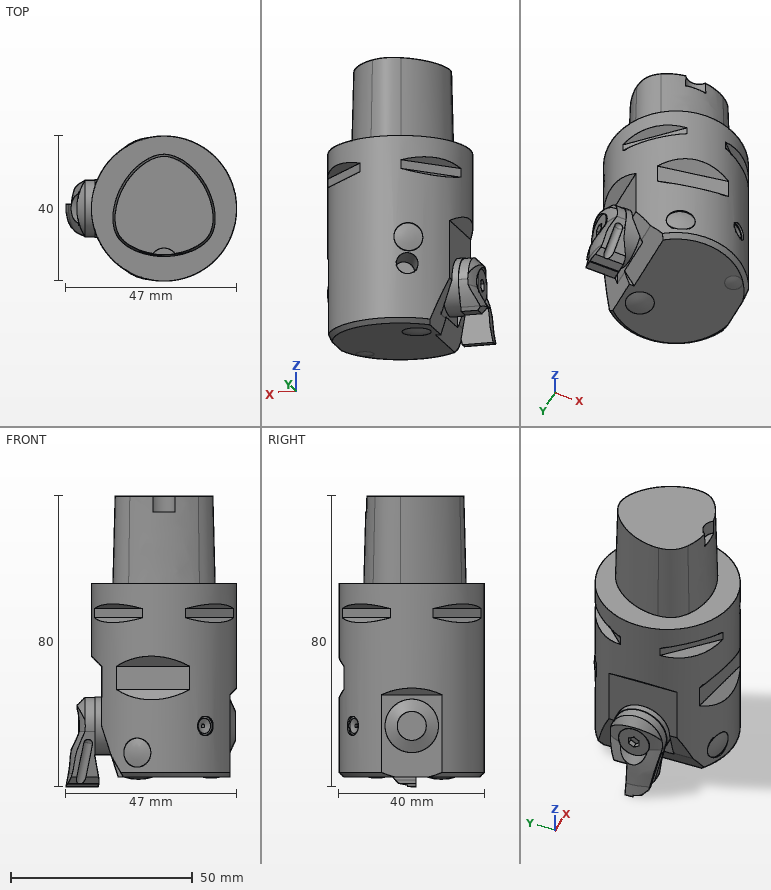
import cadquery as cq
import math


overall_length = 80
shank_height = 24
shank_radius = 14.1
shank_lobe = 0.9
shank_corner_angles = (90, 210, 330)
shank_corner_span = 56
shank_taper = 0.025
key_diameter = 7.5
key_depth = 4.3
key_centre_y = -14.6

head_radius = 20
head_bottom = -53.3
head_chamfer = 1.3
cut_radius = head_radius + 4
cut_span = 2 * cut_radius
cut_bottom = head_bottom - 0.8

gripper_distance = 17.7
gripper_top = -7.0
gripper_bottom = -9.4
gripper_flank = math.tan(math.radians(30))
gripper_angles = (45, 135, 225, 315)

side_flat_distance = 17.2
side_flat_top = -22.8
wrench_slot_height = 6.4
wrench_slot_angle = 260
rear_flat_distance = 18.2
rear_flat_top = -30.6

pivot_z = -39.2
disc_diameter = 16
disc_inner_x = -14.1
disc_outer_x = -19.0
ramp_slope = math.tan(math.radians(18))

notch_wall_y = 3.4
notch_top = -47.6
notch_slope = math.tan(math.radians(30))

arm_radius = 7.8
arm_front_x = -24
arm_front_radius = 14.4
arm_chamfer_x = -21.8
arm_tip_z = shank_height - overall_length
arm_tip_x = -27.0
arm_back_x = -17.8
arm_top = pivot_z + arm_radius
arm_bend_z = -40.8
finger_front = ((-42.8, -24.6), (-45.6, -25.5), (-49.0, -26.0))
tip_joint = (-52.2, -26.3)
back_bend_z = -47.3
back_low_z = -54.1
tip_back_x = -18.2
tip_corner_z = -55.0
seat_y = 1.2
seat_z = -47.6
wedge_start_x = -23.8
wedge_size = 3.2

arm_groove_diameter = 2.5
arm_groove_start = (-20.9, -7.4, -44.2)
arm_groove_end = (-23.2, -4.6, -55.5)

screw_head_diameter = 9.2
screw_shank_diameter = 5.0
screw_face_x = -23.6
screw_head_height = 2.4
screw_end_x = -8
socket_corners = 3.6
socket_depth = 1.6

cap_base_diameter = 14.7
cap_face_diameter = 8
cap_height = 1.5

plug_diameter = 8
plug_depth = 4
plug_dome = 0.6
plug_rim_distance = 19.6
front_plug = (248, -46.6)
back_plug = (113, -28.9)
bottom_plug = (-7.1, 8.2)

drill_diameter = 6.0
drill_angle = 112
drill_z = -36.5
drill_depth = 9.6

outlet_angle = 305
outlet_z = -39.2
outlet_diameter = 5.3
outlet_floor = 19.4
outlet_cone_diameter = 4.2
outlet_cone_depth = 0.6
outlet_tip_diameter = 1.0
outlet_tip_depth = 2.4

boss_centre = (13.0, -9.6)
boss_diameter = 5.0
boss_height = 0.3


def shank_point(angle, radius):
    """Point of a curve of constant width with three lobes, one of them on +Y."""
    phase = 3 * (angle - math.pi / 2)
    support = radius + shank_lobe * math.cos(phase)
    slope = -3 * shank_lobe * math.sin(phase)
    x = support * math.cos(angle) - slope * math.sin(angle)
    y = support * math.sin(angle) + slope * math.cos(angle)
    return x, y


def shank_edge(first, last, radius, z):
    """Smooth edge of the outline between two normal directions in degrees."""
    steps = 8
    angles = [math.radians(first + (last - first) * step / steps) for step in range(steps + 1)]
    points = [cq.Vector(*shank_point(angle, radius), z) for angle in angles]
    tangents = [cq.Vector(-math.sin(a), math.cos(a), 0) for a in (angles[0], angles[-1])]
    return cq.Edge.makeSpline(points, tangents)


def shank_outline(z):
    """Closed wire of six curve pieces, split where corners meet sides."""
    radius = shank_radius - shank_taper * z
    edges = []
    for corner in shank_corner_angles:
        first = corner - shank_corner_span / 2
        second = corner + shank_corner_span / 2
        edges.append(shank_edge(first, second, radius, z))
        edges.append(shank_edge(second, first + 360 / len(shank_corner_angles), radius, z))
    return cq.Wire.assembleEdges(edges)


def make_shank():
    outlines = [shank_outline(0), shank_outline(shank_height)]
    shank = cq.Workplane(cq.Solid.makeLoft(outlines, True))
    key = (
        cq.Workplane("XY", origin=(0, key_centre_y, shank_height - key_depth))
        .circle(key_diameter / 2)
        .extrude(2 * key_depth)
    )
    return shank.cut(key)


def wall_cut(profile, angle):
    """Straight cut across the head; profile holds (distance from axis, Z) points."""
    cut = cq.Workplane("XZ").polyline(profile).close().extrude(cut_span / 2, both=True)
    return cut.rotate((0, 0, 0), (0, 0, 1), angle)


def slot_cut(distance, top, bottom, flank, angle):
    """Flat-bottomed slot whose two flanks rise outwards by the given slope."""
    rise = flank * (cut_radius - distance)
    profile = [
        (distance, top),
        (distance, bottom),
        (cut_radius, bottom - rise),
        (cut_radius, top + rise),
    ]
    return wall_cut(profile, angle)


def side_flat_cut():
    """Flat on -X with a 45 degree run-out above and a ramp below the pivot."""
    ramp_end = side_flat_distance - ramp_slope * (pivot_z - cut_bottom)
    run_out = cut_radius - side_flat_distance
    profile = [
        (side_flat_distance, side_flat_top),
        (side_flat_distance, pivot_z),
        (ramp_end, cut_bottom),
        (cut_radius, cut_bottom),
        (cut_radius, side_flat_top + run_out),
    ]
    return wall_cut(profile, 180)


def rear_flat_cut():
    """Flat on +X that runs out through the bottom."""
    run_out = cut_radius - rear_flat_distance
    profile = [
        (rear_flat_distance, rear_flat_top),
        (rear_flat_distance, cut_bottom),
        (cut_radius, cut_bottom),
        (cut_radius, rear_flat_top + run_out),
    ]
    return wall_cut(profile, 0)


def pivot_workplane(x):
    """Plane across the pivot axis, facing -X; its local Y is the part's Z."""
    return cq.Workplane(cq.Plane(origin=(x, 0, pivot_z), xDir=(0, -1, 0), normal=(-1, 0, 0)))


def disc_pocket():
    """Round seat for the pivot disc, open downwards."""
    length = cut_radius + disc_inner_x
    round_end = pivot_workplane(disc_inner_x).circle(disc_diameter / 2).extrude(length)
    depth = pivot_z - cut_bottom
    open_end = (
        pivot_workplane(disc_inner_x)
        .center(0, -depth / 2)
        .rect(disc_diameter, depth)
        .extrude(length)
    )
    return round_end.union(open_end)


def notch_cut():
    """Steeper relief below the pocket, from the notch wall towards -Y."""
    start_x = -side_flat_distance + ramp_slope * (pivot_z - notch_top)
    end_x = start_x + notch_slope * (notch_top - cut_bottom)
    profile = [(start_x, notch_top), (end_x, cut_bottom), (-cut_radius, cut_bottom), (-cut_radius, notch_top)]
    return (
        cq.Workplane("XZ", origin=(0, notch_wall_y, 0))
        .polyline(profile)
        .close()
        .extrude(cut_span)
    )


def bottom_workplane(place):
    """Plane on the head's bottom face, facing down, centred at the given X and Y."""
    return cq.Workplane(cq.Plane((*place, head_bottom), xDir=(1, 0, 0), normal=(0, 0, -1)))


def radial_workplane(angle, distance, z):
    """Plane facing away from the tool axis in the given direction."""
    turn = math.radians(angle)
    outward = cq.Vector(math.cos(turn), math.sin(turn), 0)
    origin = outward * distance + cq.Vector(0, 0, z)
    return cq.Workplane(cq.Plane(origin=origin, xDir=(0, 0, 1), normal=outward))


def outlet_cut():
    """Shallow round recess with a conical floor and a fine nozzle hole."""
    recess = radial_workplane(outlet_angle, outlet_floor, outlet_z)
    recess = recess.circle(outlet_diameter / 2).extrude(cut_radius - outlet_floor)
    cone_end = outlet_floor - outlet_cone_depth
    cone = (
        radial_workplane(outlet_angle, cone_end, outlet_z)
        .circle(outlet_tip_diameter / 2)
        .workplane(offset=outlet_cone_depth)
        .circle(outlet_cone_diameter / 2)
        .loft()
    )
    tip = radial_workplane(outlet_angle, cone_end, outlet_z)
    tip = tip.circle(outlet_tip_diameter / 2).extrude(-outlet_tip_depth)
    return recess.union(cone).union(tip)


def make_dome(base, diameter, height):
    """Spherical cap standing on a workplane."""
    half = diameter / 2
    return (
        cq.Workplane(cq.Plane(base.plane.origin, base.plane.xDir, -base.plane.yDir))
        .lineTo(half, 0)
        .threePointArc(dome_middle(half, height), (0, height))
        .close()
        .revolve(360, (0, 0), (0, 1))
    )


def dome_middle(half, height):
    """Point halfway along the arc from the rim (half, 0) to the apex (0, height)."""
    radius = (half**2 + height**2) / (2 * height)
    sweep = math.asin(half / radius) / 2
    return radius * math.sin(sweep), height - radius * (1 - math.cos(sweep))


def make_plug(base):
    """Domed plug; its rim lies on the given workplane."""
    stem = base.circle(plug_diameter / 2).extrude(-plug_depth)
    return stem.union(make_dome(base, plug_diameter, plug_dome))


def plug_bore(base):
    """Hole for a plug, running out through the adapter's surface."""
    return base.workplane(offset=-plug_depth).circle(plug_diameter / 2).extrude(2 * plug_depth)


def make_adapter(bores):
    """Shank and head in one piece, with all cuts and the plug bores."""
    head = cq.Workplane("XY").circle(head_radius).extrude(head_bottom)
    head = head.faces("<Z").chamfer(head_chamfer)
    for angle in gripper_angles:
        head = head.cut(slot_cut(gripper_distance, gripper_top, gripper_bottom, gripper_flank, angle))
    wrench_bottom = side_flat_top - wrench_slot_height
    head = head.cut(slot_cut(side_flat_distance, side_flat_top, wrench_bottom, 1, wrench_slot_angle))
    head = head.cut(side_flat_cut()).cut(rear_flat_cut())
    head = head.cut(disc_pocket()).cut(notch_cut())
    head = head.cut(screw_bore()).cut(outlet_cut())
    drill = radial_workplane(drill_angle, head_radius - drill_depth, drill_z)
    head = head.cut(drill.circle(drill_diameter / 2).extrude(2 * drill_depth))
    for bore in bores:
        head = head.cut(bore)
    boss = make_dome(bottom_workplane(boss_centre), boss_diameter, boss_height)
    return head.union(make_shank()).union(boss)


def screw_bore():
    """Hole for the screw's shank, from its inner end to its face."""
    length = screw_end_x - screw_face_x
    return pivot_workplane(screw_end_x).circle(screw_shank_diameter / 2).extrude(length)


def make_disc():
    thickness = disc_inner_x - disc_outer_x
    disc = pivot_workplane(disc_inner_x).circle(disc_diameter / 2).extrude(thickness)
    return disc.cut(screw_bore())


def screw_head():
    """Cylindrical screw head, which is also the shape of its counterbore."""
    base = pivot_workplane(screw_face_x + screw_head_height)
    return base.circle(screw_head_diameter / 2).extrude(screw_head_height)


def make_screw():
    """Cap screw with a hexagon socket."""
    socket = (
        pivot_workplane(screw_face_x)
        .transformed(rotate=(0, 0, 90))
        .polygon(6, socket_corners)
        .extrude(-socket_depth)
    )
    return screw_bore().union(screw_head()).cut(socket)


def arm_section(z, front_x):
    """Horizontal section: straight back, convex front, wider than the arm."""
    half = arm_radius + 0.4
    back_x = arm_back_x + 0.8
    side_x = front_x + arm_front_radius - math.sqrt(arm_front_radius**2 - half**2)
    return (
        cq.Workplane("XY", origin=(0, 0, z))
        .moveTo(back_x, -half)
        .lineTo(side_x, -half)
        .threePointArc((front_x, 0), (side_x, half))
        .lineTo(back_x, half)
        .close()
        .wires()
        .val()
    )


def arm_front():
    """Arm limited by its front face, which leans outwards below the screw."""
    top = arm_section(arm_top + 0.8, arm_front_x)
    bend = arm_section(arm_bend_z, arm_front_x)
    lean = [arm_section(z, x) for z, x in finger_front]
    joint = arm_section(*tip_joint)
    end = arm_section(arm_tip_z, arm_tip_x)
    eye = cq.Workplane(cq.Solid.makeLoft([top, bend], True))
    finger = cq.Workplane(cq.Solid.makeLoft([bend, *lean, joint]))
    tip = cq.Workplane(cq.Solid.makeLoft([joint, end], True))
    return eye.union(finger).union(tip)


def arm_back():
    """Arm limited by its back: flat on the disc, then leaning towards the head."""
    profile = [
        (disc_outer_x, arm_top + 0.8),
        (disc_outer_x, back_bend_z),
        (arm_back_x, back_low_z),
        (arm_back_x, tip_corner_z),
        (tip_back_x, arm_tip_z),
        (-cut_span, arm_tip_z),
        (-cut_span, arm_top + 0.8),
    ]
    return cq.Workplane("XZ").polyline(profile).close().extrude(cut_radius, both=True)


def arm_outline():
    """Arm seen along X: round eye, tapering finger and stepped cutting tip."""
    outline = (
        cq.Workplane("YZ", origin=(-cut_span, 0, 0))
        .moveTo(arm_radius, pivot_z)
        .threePointArc((0, arm_top), (-7.7, arm_bend_z))
        .lineTo(-5.3, -53.3)
        .lineTo(-3.6, tip_corner_z)
        .lineTo(-1.2, -55.5)
        .lineTo(-1.2, -55.9)
        .lineTo(seat_y, arm_tip_z)
        .lineTo(seat_y, seat_z)
        .lineTo(5.0, seat_z)
        .lineTo(5.6, -46.6)
        .threePointArc((7.3, -42.8), (arm_radius, pivot_z))
        .close()
    )
    return outline.extrude(cut_span)


def eye_chamfer_cut():
    """45 degree conical chamfer around the upper half of the arm's eye."""
    length = arm_radius - 0.8
    ring_radius = arm_radius + 0.8
    ring = pivot_workplane(arm_chamfer_x).circle(ring_radius).extrude(length)
    cone = (
        pivot_workplane(arm_chamfer_x)
        .circle(arm_radius)
        .workplane(offset=length)
        .circle(arm_radius - length)
        .loft()
    )
    upper = cq.Workplane("XY", origin=(arm_chamfer_x, 0, pivot_z)).rect(cut_span, cut_span)
    return ring.cut(cone).intersect(upper.extrude(cut_radius))


def countersink_cut():
    """45 degree countersink through the front face beyond the screw head."""
    depth = screw_face_x - arm_tip_x
    return (
        pivot_workplane(screw_face_x)
        .circle(screw_head_diameter / 2)
        .workplane(offset=depth)
        .circle(screw_head_diameter / 2 + depth)
        .loft()
    )


def shoulder_wedge():
    """Sloping relief under the arm's shoulder, rising towards the front."""
    end_x = wedge_start_x - wedge_size
    return (
        cq.Workplane("XZ", origin=(0, seat_y, 0))
        .polyline([(wedge_start_x, seat_z), (end_x, seat_z + wedge_size), (end_x, seat_z)])
        .close()
        .extrude(-arm_radius)
    )


def groove_cut():
    """Round-bottomed coolant groove along the -Y edge of the finger."""
    radius = arm_groove_diameter / 2
    start = cq.Vector(*arm_groove_start)
    path = cq.Vector(*arm_groove_end) - start
    groove = cq.Workplane(cq.Solid.makeCylinder(radius, path.Length, start, path))
    return groove.union(cq.Workplane(origin=arm_groove_start).sphere(radius))


def make_arm():
    arm = arm_front().intersect(arm_back()).intersect(arm_outline())
    arm = arm.cut(eye_chamfer_cut())
    arm = arm.cut(screw_bore()).cut(screw_head()).cut(countersink_cut())
    return arm.cut(shoulder_wedge()).cut(groove_cut())


def make_rear_cap():
    """Tapered cap on the rear flat, in line with the pivot."""
    return (
        cq.Workplane("YZ", origin=(rear_flat_distance, 0, pivot_z))
        .circle(cap_base_diameter / 2)
        .workplane(offset=cap_height)
        .circle(cap_face_diameter / 2)
        .loft()
    )


plug_seats = [
    *(radial_workplane(angle, plug_rim_distance, z) for angle, z in (front_plug, back_plug)),
    bottom_workplane(bottom_plug),
]
plugs = [make_plug(seat) for seat in plug_seats]
adapter = make_adapter([plug_bore(seat) for seat in plug_seats])
disc = make_disc()
arm = make_arm()
screw = make_screw()
rear_cap = make_rear_cap()

bodies = [adapter, disc, arm, screw, rear_cap, *plugs]
result = cq.Compound.makeCompound([body.solids().val() for body in bodies])